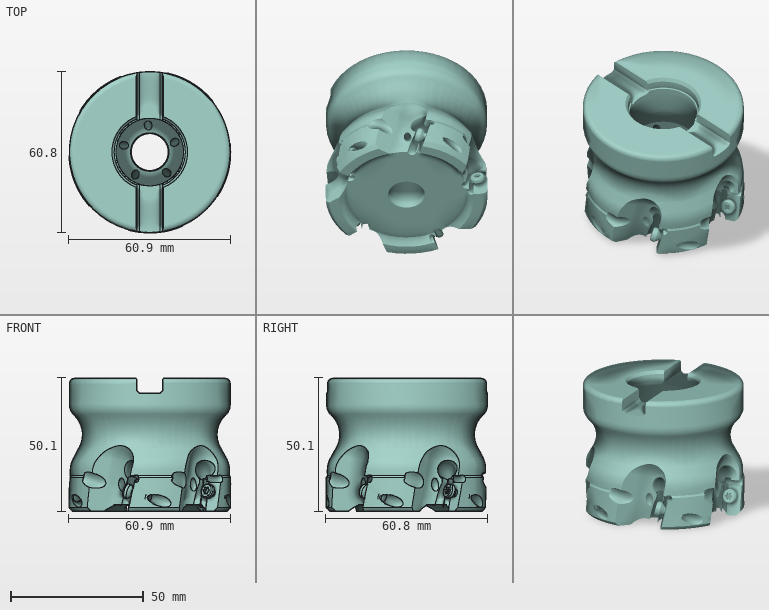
import cadquery as cq
import math

HEIGHT = 50.1
HEAD_RADIUS = 30.3
HEAD_TOP_ROUND = 2.0
HEAD_BOTTOM_Z = 40.15
SHOULDER_RADIUS = 28.6
SHOULDER_Z = 36.3
NECK_RADIUS = 25.35
NECK_Z = 29.4
CONE_TOP_RADIUS = 26.6
CONE_TOP_Z = 24.1
CONE_BOTTOM_RADIUS = 28.7
CONE_BOTTOM_Z = 20.3
SKIRT_RADIUS = 30.05
SKIRT_TOP_Z = 15.45
BAND_RADIUS = 30.45
BAND_TOP_Z = 13.45
BAND_TOP_CHAMFER = 0.7
BAND_BOTTOM_CHAMFER = 1.45

RECESS_RADIUS = 25.25
RECESS_FLOOR_RADIUS = 22.8
RECESS_DEPTH = 2.55
THROUGH_RADIUS = 6.95
THROUGH_CHAMFER = 0.3
BORE_RADIUS = 12.7
BORE_FLOOR_Z = 28.6
BORE_RELIEF_RADIUS = 13.0
BORE_RELIEF_TOP_Z = 34.05
LIP_RADIUS = 13.4
LIP_FLOOR_Z = 45.8
MOUTH_RADIUS = 14.2
MOUTH_DEPTH = 1.3

SLOT_WIDTH = 9.6
SLOT_DEPTH = 5.6
SLOT_TOP_CHAMFER = 0.4
SLOT_FLOOR_CHAMFER = 1.0

POCKET_COUNT = 5
CUT_REACH = 18.25

FLUTE_RADIUS = 6.7
FLUTE_TOP = cq.Vector(-12.7, -27.1, 19.2)
FLUTE_AXIS = cq.Vector(0.16, -0.11, 1.0).normalized()
FLUTE_LENGTH = 30.4
FLUTE_WALL_TURN = 8.0
FLUTE_WALL_WIDTH = 18.25

CORNER_TOOL_RADIUS = 3.45
CORNER_TOOL_LENGTH = 12.15
CORNER_TOOL_CENTRE = cq.Vector(-6.15, -22.75, 15.2)
CORNER_TOOL_AXIS = cq.Vector(-0.65, -0.65, 0.3).normalized()

SEAT_CENTRE = cq.Vector(-5.8, -25.8, 7.4)
SEAT_TURN = 12.0
SEAT_RAKE = 13.5
SEAT_TOP = 5.8
SEAT_WALL = 2.75
SEAT_OUTER = 8.5
SEAT_DEPTH = 5.5
TOP_RELIEF_RADIUS = 1.4
TOP_RELIEF_HEIGHT = 5.05
CORNER_RELIEF_RADIUS = 1.2
CORNER_RELIEF_OFFSET = 2.3
WALL_GROOVE_RADIUS = 1.7
WALL_GROOVE_OFFSET = 3.85
WALL_GROOVE_LIFT = 2.75
WALL_GROOVE_TOP = 5.65

COOLANT_RADIUS = 1.4
COOLANT_START = cq.Vector(-5.4, -8.45, BORE_FLOOR_Z)
COOLANT_END = cq.Vector(-10.8, -21.4, 8.8)
COOLANT_OVERRUN = 2.45

SCREW_FACE = cq.Vector(-9.25, -25.3, 7.9)
SCREW_TURN = 20.0
SCREW_RAKE = 15.6
SCREW_LENGTH = 10.35
SHANK_RADIUS = 1.5
HEAD_FACE_RADIUS = 2.4
SCREW_HEAD_RADIUS = 2.75
HEAD_EDGE = 0.6
HEAD_RIM = 1.1
HEAD_HEIGHT = 3.05
SOCKET_CORE_RADIUS = 1.1
SOCKET_LOBE_RADIUS = 0.35
SOCKET_LOBES = 6
SOCKET_DEPTH = 1.1
EXIT_HOLE_RADIUS = 2.0
EXIT_HOLE_START = 9.1
ACCESS_RADIUS = 2.8


def facing(turn, rake):
    """Direction that starts at -X, is turned about Z toward +Y and is raised toward +Z."""
    level = math.cos(math.radians(rake))
    return cq.Vector(
        -level * math.cos(math.radians(turn)),
        level * math.sin(math.radians(turn)),
        math.sin(math.radians(rake)),
    )


def plane_facing(origin, normal):
    """Plane whose local Y leans up and whose local X is level."""
    return cq.Plane(origin=origin, xDir=cq.Vector(0, 0, 1).cross(normal), normal=normal)


def rod(start, direction, length, radius):
    return cq.Workplane(obj=cq.Solid.makeCylinder(radius, length, start, direction))


def around_axis(shape, index):
    return shape.rotate((0, 0, 0), (0, 0, 1), index * 360.0 / POCKET_COUNT)


def turned_body():
    """Waisted outside, stepped bore and underside recess in one profile."""
    round_inset = HEAD_TOP_ROUND * (1 - math.sqrt(0.5))
    round_middle = (HEAD_RADIUS - round_inset, HEIGHT - round_inset)
    shoulder_step = HEAD_RADIUS - SHOULDER_RADIUS
    shoulder_rise = HEAD_BOTTOM_Z - SHOULDER_Z
    shoulder_arc_radius = (shoulder_rise**2 + shoulder_step**2) / (2 * shoulder_step)
    skirt_rise = CONE_BOTTOM_Z - SKIRT_TOP_Z
    profile = (
        cq.Workplane("XZ")
        .moveTo(THROUGH_RADIUS, RECESS_DEPTH)
        .lineTo(RECESS_FLOOR_RADIUS, RECESS_DEPTH)
        .lineTo(RECESS_RADIUS, 0)
        .lineTo(BAND_RADIUS - BAND_BOTTOM_CHAMFER, 0)
        .lineTo(BAND_RADIUS, BAND_BOTTOM_CHAMFER)
        .lineTo(BAND_RADIUS, BAND_TOP_Z - BAND_TOP_CHAMFER)
        .lineTo(SKIRT_RADIUS, BAND_TOP_Z)
        .lineTo(SKIRT_RADIUS, SKIRT_TOP_Z)
        .tangentArcPoint((CONE_BOTTOM_RADIUS - SKIRT_RADIUS, skirt_rise))
        .lineTo(CONE_TOP_RADIUS, CONE_TOP_Z)
        .threePointArc((NECK_RADIUS, NECK_Z), (SHOULDER_RADIUS, SHOULDER_Z))
        .radiusArc((HEAD_RADIUS, HEAD_BOTTOM_Z), -shoulder_arc_radius)
        .lineTo(HEAD_RADIUS, HEIGHT - HEAD_TOP_ROUND)
        .threePointArc(round_middle, (HEAD_RADIUS - HEAD_TOP_ROUND, HEIGHT))
        .lineTo(MOUTH_RADIUS, HEIGHT)
        .lineTo(LIP_RADIUS, HEIGHT - MOUTH_DEPTH)
        .lineTo(LIP_RADIUS, LIP_FLOOR_Z)
        .lineTo(BORE_RADIUS, LIP_FLOOR_Z)
        .lineTo(BORE_RADIUS, BORE_RELIEF_TOP_Z)
        .lineTo(BORE_RELIEF_RADIUS, BORE_RELIEF_TOP_Z)
        .lineTo(BORE_RELIEF_RADIUS, BORE_FLOOR_Z)
        .lineTo(THROUGH_RADIUS + THROUGH_CHAMFER, BORE_FLOOR_Z)
        .lineTo(THROUGH_RADIUS, BORE_FLOOR_Z - THROUGH_CHAMFER)
        .close()
    )
    return profile.revolve(360, (0, 0), (0, 1))


def drive_slot():
    half = SLOT_WIDTH / 2
    floor_z = HEIGHT - SLOT_DEPTH
    right = [
        (half - SLOT_FLOOR_CHAMFER, floor_z),
        (half, floor_z + SLOT_FLOOR_CHAMFER),
        (half, HEIGHT - SLOT_TOP_CHAMFER),
        (half + SLOT_TOP_CHAMFER, HEIGHT),
    ]
    left = [(-x, z) for x, z in reversed(right)]
    return cq.Workplane("XZ").polyline(right + left).close().extrude(2 * HEAD_RADIUS, both=True)


def flute_cut():
    """Ball-ended cylinder that runs out into a flat wall on its trailing side."""
    level_x = math.cos(math.radians(FLUTE_WALL_TURN))
    level_y = math.sin(math.radians(FLUTE_WALL_TURN))
    rise = -(level_x * FLUTE_AXIS.x + level_y * FLUTE_AXIS.y) / FLUTE_AXIS.z
    lead = cq.Vector(level_x, level_y, rise).normalized()
    plane = cq.Plane(origin=FLUTE_TOP, xDir=lead, normal=FLUTE_AXIS * -1)
    channel = (
        cq.Workplane(plane)
        .moveTo(-FLUTE_WALL_WIDTH, FLUTE_RADIUS)
        .lineTo(-FLUTE_WALL_WIDTH, -FLUTE_RADIUS)
        .lineTo(0, -FLUTE_RADIUS)
        .threePointArc((FLUTE_RADIUS, 0), (0, FLUTE_RADIUS))
        .close()
        .extrude(FLUTE_LENGTH)
    )
    ball = cq.Workplane(plane).sphere(FLUTE_RADIUS)
    run_out = rod(FLUTE_TOP, lead * -1, FLUTE_WALL_WIDTH, FLUTE_RADIUS)
    return channel.union(ball).union(run_out)


def corner_cut():
    """Ball-nosed plunge at the top inner corner of the insert pocket."""
    shank = rod(CORNER_TOOL_CENTRE, CORNER_TOOL_AXIS, CORNER_TOOL_LENGTH, CORNER_TOOL_RADIUS)
    ball = cq.Workplane("XY").sphere(CORNER_TOOL_RADIUS).translate(CORNER_TOOL_CENTRE)
    return shank.union(ball)


def seat_cut():
    """Insert pocket with relief grooves along its top, its inner corner and its inner wall."""
    plane = plane_facing(SEAT_CENTRE, facing(SEAT_TURN, SEAT_RAKE))
    up = plane.yDir
    out = plane.xDir
    width = SEAT_OUTER + SEAT_WALL
    pocket = (
        cq.Workplane(plane)
        .moveTo(-SEAT_WALL, SEAT_TOP)
        .rect(width, -CUT_REACH, centered=False)
        .extrude(SEAT_DEPTH)
    )
    top_start = plane.toWorldCoords((-SEAT_WALL, TOP_RELIEF_HEIGHT, 0))
    top_relief = rod(top_start, out, width, TOP_RELIEF_RADIUS)
    corner_start = plane.toWorldCoords((-CORNER_RELIEF_OFFSET, TOP_RELIEF_HEIGHT, 0))
    corner_relief = rod(corner_start, up * -1, CUT_REACH, CORNER_RELIEF_RADIUS)
    groove_start = plane.toWorldCoords((-WALL_GROOVE_OFFSET, WALL_GROOVE_TOP, WALL_GROOVE_LIFT))
    wall_groove = rod(groove_start, up * -1, CUT_REACH, WALL_GROOVE_RADIUS)
    return pocket.union(top_relief).union(corner_relief).union(wall_groove)


def screw_hole():
    """Screw hole that widens behind the screw tip, with clearance in front of the head for a key."""
    axis = facing(SCREW_TURN, SCREW_RAKE)
    thread = rod(SCREW_FACE, axis * -1, SCREW_LENGTH, SHANK_RADIUS)
    exit_hole = rod(SCREW_FACE - axis * EXIT_HOLE_START, axis * -1, CUT_REACH, EXIT_HOLE_RADIUS)
    access = rod(SCREW_FACE, axis, CUT_REACH, ACCESS_RADIUS)
    return thread.union(exit_hole).union(access)


def coolant_hole():
    """Slanted hole from the bore floor to the flute wall."""
    path = COOLANT_END - COOLANT_START
    start = COOLANT_START - path.normalized() * COOLANT_OVERRUN
    return rod(start, path, path.Length + 2 * COOLANT_OVERRUN, COOLANT_RADIUS)


def cutter_body():
    body = turned_body().cut(drive_slot())
    for cutter in (flute_cut(), corner_cut(), seat_cut(), screw_hole(), coolant_hole()):
        for index in range(POCKET_COUNT):
            body = body.cut(around_axis(cutter, index))
    return body


def insert_screw():
    """Countersunk screw with a six-lobed socket."""
    plane = plane_facing(SCREW_FACE, facing(SCREW_TURN, SCREW_RAKE))
    rim_end = HEAD_EDGE + HEAD_RIM
    screw = (
        cq.Workplane("XZ")
        .moveTo(0, 0)
        .lineTo(HEAD_FACE_RADIUS, 0)
        .lineTo(SCREW_HEAD_RADIUS, -HEAD_EDGE)
        .lineTo(SCREW_HEAD_RADIUS, -rim_end)
        .lineTo(SHANK_RADIUS, -HEAD_HEIGHT)
        .lineTo(SHANK_RADIUS, -SCREW_LENGTH)
        .lineTo(0, -SCREW_LENGTH)
        .close()
        .revolve(360, (0, 0), (0, 1))
    )
    socket = cq.Workplane("XY").circle(SOCKET_CORE_RADIUS).extrude(-SOCKET_DEPTH)
    lobes = (
        cq.Workplane("XY")
        .polarArray(SOCKET_CORE_RADIUS, 0, 360, SOCKET_LOBES)
        .circle(SOCKET_LOBE_RADIUS)
        .extrude(-SOCKET_DEPTH)
    )
    screw = screw.cut(socket.union(lobes))
    return cq.Workplane(obj=screw.val().moved(cq.Location(plane)))


body = cutter_body()
screw = insert_screw()
screws = [around_axis(screw, index) for index in range(POCKET_COUNT)]

result = cq.Compound.makeCompound([body.val(), *[item.val() for item in screws]])